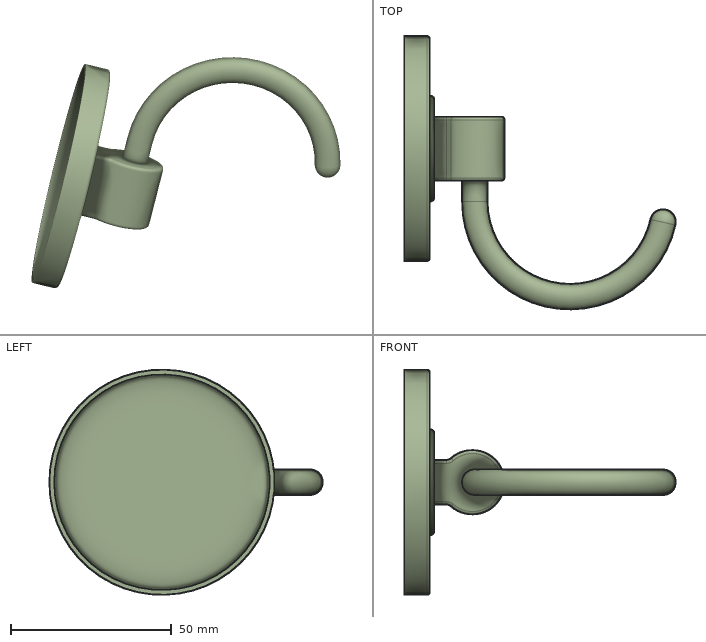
import cadquery as cq
import math

plate_radius = 35.0
plate_thickness = 8.0
plate_wall = 1.5
plate_cavity_depth = 6.5
plate_edge_fillet = 1.0

pad_radius = 16.5
pad_thickness = 1.4
barrel_radius = 10.0
barrel_length = 20.0
barrel_x = 21.2
neck_height = 13.9
neck_corner_radius = 2.0
holder_edge_fillet = 1.0

rod_radius = 4.0
shank_x = 21.9
shank_end_y = -16.4
bend_radius = 29.6
tip_angle = 12.5

plate_front_x = plate_thickness
pad_front_x = plate_front_x + pad_thickness
barrel_front_y = -barrel_length / 2


def make_plate():
    cup = cq.Workplane("YZ").circle(plate_radius).extrude(plate_thickness)
    cup = cup.faces(">X").edges().fillet(plate_edge_fillet)
    cavity = cq.Workplane("YZ").circle(plate_radius - plate_wall).extrude(plate_cavity_depth)
    return cup.cut(cavity)


def make_arm():
    """Neck and barrel, extruded along Y from one keyhole-shaped profile."""
    neck_length = barrel_x - pad_front_x
    neck = (
        cq.Workplane("XZ", origin=(pad_front_x + neck_length / 2, 0, 0))
        .rect(neck_length, neck_height)
        .extrude(barrel_length / 2, both=True)
    )
    barrel = (
        cq.Workplane("XZ", origin=(barrel_x, 0, 0))
        .circle(barrel_radius)
        .extrude(barrel_length / 2, both=True)
    )
    arm = neck.union(barrel)

    corner_x = barrel_x - math.sqrt(barrel_radius**2 - (neck_height / 2) ** 2)
    for side in (1, -1):
        corner = (corner_x, 0, side * neck_height / 2)
        arm = arm.edges(cq.selectors.NearestToPointSelector(corner)).fillet(neck_corner_radius)

    return arm.faces("<Y or >Y").edges("not(<X)").fillet(holder_edge_fillet)


def make_pad():
    """Disc whose rim is rounded over its whole thickness, revolved about X."""
    face_radius = pad_radius - pad_thickness
    round_offset = pad_thickness * math.sqrt(0.5)
    rim_middle = (plate_front_x + round_offset, face_radius + round_offset)
    return (
        cq.Workplane("XY")
        .moveTo(plate_front_x, 0)
        .lineTo(plate_front_x, pad_radius)
        .threePointArc(rim_middle, (pad_front_x, face_radius))
        .lineTo(pad_front_x, 0)
        .close()
        .revolve(360, (0, 0, 0), (1, 0, 0))
    )


def make_holder():
    return make_pad().union(make_arm())


def make_hook():
    bend_x = shank_x + bend_radius

    def bend_point(angle):
        """Point on the bend's centre line, angle in degrees from +X."""
        turn = math.radians(angle)
        return (bend_x + bend_radius * math.cos(turn), shank_end_y + bend_radius * math.sin(turn))

    tip = bend_point(-tip_angle)
    path = (
        cq.Workplane("XY")
        .moveTo(shank_x, barrel_front_y)
        .lineTo(shank_x, shank_end_y)
        .threePointArc(bend_point(-90), tip)
    )
    rod = cq.Workplane("XZ", origin=(shank_x, barrel_front_y, 0)).circle(rod_radius).sweep(path)
    dome = cq.Workplane("XY", origin=(*tip, 0)).sphere(rod_radius)
    return rod.union(dome)


plate = make_plate()
holder = make_holder()
hook = make_hook()

result = cq.Compound.makeCompound([plate.val(), holder.val(), hook.val()])